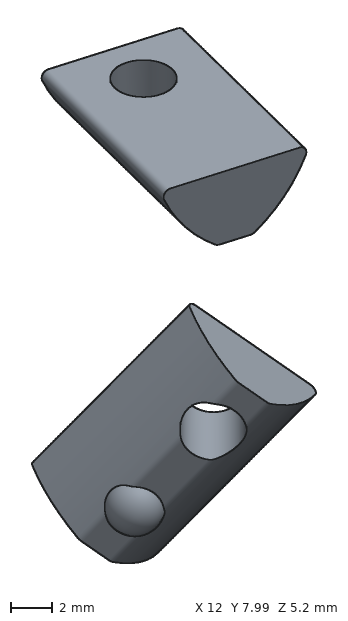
import cadquery as cq
import math

length = 12
width = 7.99
body_height = 4.2
overall_height = 5.2
top_corner_radius = 0.4
bottom_corner_radius = 0.48
bottom_half_width = 1.0
flank_radius = 8.4
flank_start_angle = math.radians(28)
hole_diameter = 3.24
hole_x = length / 4
ball_diameter = 3.02
ball_x = 3 * length / 4


def body():
    """Bar with a flat top, bulged flanks and a narrow flat bottom."""
    corner_y = width / 2 - top_corner_radius

    def corner_point(angle):
        """Point on the top corner round, angle measured downward from horizontal."""
        return (
            corner_y + top_corner_radius * math.cos(angle),
            -top_corner_radius - top_corner_radius * math.sin(angle),
        )

    def mirrored(point):
        return (-point[0], point[1])

    top_end = (corner_y, 0)
    corner_middle = corner_point(0)
    flank_top = corner_point(flank_start_angle)
    flank_bottom = (bottom_half_width, -body_height)

    bar = (
        cq.Workplane("YZ")
        .moveTo(*mirrored(top_end))
        .lineTo(*top_end)
        .threePointArc(corner_middle, flank_top)
        .radiusArc(flank_bottom, flank_radius)
        .lineTo(*mirrored(flank_bottom))
        .radiusArc(mirrored(flank_top), flank_radius)
        .threePointArc(mirrored(corner_middle), mirrored(top_end))
        .close()
        .extrude(length)
    )
    return bar.faces("<Z").edges("|X").fillet(bottom_corner_radius)


def through_hole():
    """Vertical round hole through the whole body."""
    return cq.Workplane("XY").center(hole_x, 0).circle(hole_diameter / 2).extrude(-body_height)


def ball():
    """Detent ball seated in the body and standing out below it."""
    radius = ball_diameter / 2
    return cq.Workplane("XY").sphere(radius).translate((ball_x, 0, radius - overall_height))


result = body().cut(through_hole()).union(ball())